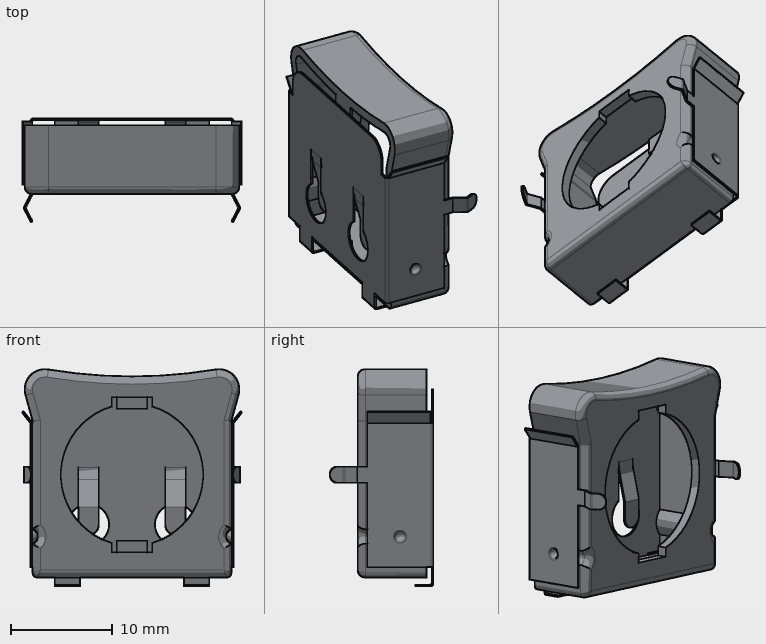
import cadquery as cq
import math


HOUSING_DEPTH = 6.78
WALL = 1.0
HALF_WIDTH = 9.79
BOTTOM_Z = -10.12
TOP_Z = 10.39
SADDLE_RADIUS = 50.0
SADDLE_LOW_Z = 9.68
SHOULDER_RADIUS = 2.0
WAIST_Z = 5.3
BOTTOM_CORNER_RADIUS = 0.5
FRONT_FILLET = 0.75

GROOVE_X = 10.0
GROOVE_Z = -6.07
GROOVE_RADIUS = 0.75

OPENING_RADIUS = 7.0
NOTCH_HALF_WIDTH = 2.0
NOTCH_HALF_HEIGHT = 7.63
FIN_WIDTH = 3.0
FIN_TIP_Z = 6.5
FIN_THICKNESS = 0.2

SHEET = 0.18
SIDE_GAP = 0.02
BEND_INNER_RADIUS = 0.1
BEND_OUTER_RADIUS = BEND_INNER_RADIUS + SHEET
CLIP_INNER_HALF_WIDTH = HALF_WIDTH + SIDE_GAP
CLIP_HALF_WIDTH = CLIP_INNER_HALF_WIDTH + SHEET
CLIP_BACK_Y = 7.45
PLATE_FRONT_Y = CLIP_BACK_Y - SHEET
PANEL_FRONT_Y = 0.95
PANEL_TOP_Z = 5.07
PANEL_BOTTOM_Z = -9.1

HEAD_HALF_WIDTH = 9.0
HEAD_TOP_Z = 8.4
HEAD_CORNER_RADIUS = 2.0

LIP_ANGLE = 38.0
LIP_TIP_X = 10.815

FOOT_X = 6.35
FOOT_WIDTH = 2.5
FOOT_BOTTOM_Z = -10.99
FOOT_LENGTH = 1.8

ARM_WIDTH = 1.6
ARM_ANGLE = 27.0
ARM_FIRST_BEND_Y = -0.02
ARM_SECOND_BEND_Y = -1.35
ARM_TIP_Y = -2.75
ELBOW_INNER_RADIUS = 0.05
ELBOW_OUTER_RADIUS = ELBOW_INNER_RADIUS + SHEET

TONGUE_X = 4.27
TONGUE_WIDTH = 2.03
TONGUE_ROOT_Z = 0.75
TONGUE_BEND_RADIUS = 5.0
TONGUE_ANGLE = 14.0
TONGUE_STRAIGHT_Z = -3.17
RELIEF_RADIUS = 2.0
RELIEF_Z = -4.9

DIMPLE_Y = 4.15
DIMPLE_RADIUS = 0.72
DIMPLE_MOUTH_FILLET = 0.1


def front_plane(y):
    """Sketch plane at depth y with local x = X and local y = Z; extrudes toward -Y."""
    return cq.Workplane("XZ", origin=(0, y, 0))


def block(x_range, y_range, z_range):
    sizes = [high - low for low, high in (x_range, y_range, z_range)]
    corner = (x_range[0], y_range[0], z_range[0])
    return cq.Workplane("XY").box(*sizes, centered=False).translate(corner)


def housing_outline():
    """Closed wire: saddle top, round shoulders, sloping flanks, straight sides with a groove."""
    saddle_center_z = SADDLE_LOW_Z + SADDLE_RADIUS
    shoulder_z = TOP_Z - SHOULDER_RADIUS
    shoulder_x = math.sqrt((SADDLE_RADIUS + SHOULDER_RADIUS) ** 2 - (saddle_center_z - shoulder_z) ** 2)

    def on_shoulder(angle):
        return (
            shoulder_x + SHOULDER_RADIUS * math.cos(angle),
            shoulder_z + SHOULDER_RADIUS * math.sin(angle),
        )

    saddle_angle = math.atan2(saddle_center_z - shoulder_z, -shoulder_x)
    to_waist_x = HALF_WIDTH - shoulder_x
    to_waist_z = WAIST_Z - shoulder_z
    tangent_offset = math.acos(SHOULDER_RADIUS / math.hypot(to_waist_x, to_waist_z))
    flank_angle = math.atan2(to_waist_z, to_waist_x) + tangent_offset
    shoulder_start = on_shoulder(saddle_angle)
    shoulder_mid = on_shoulder((saddle_angle + flank_angle) / 2)
    shoulder_end = on_shoulder(flank_angle)

    half_saddle_angle = math.asin(shoulder_start[0] / SADDLE_RADIUS) / 2
    saddle_mid = (
        SADDLE_RADIUS * math.sin(half_saddle_angle),
        saddle_center_z - SADDLE_RADIUS * math.cos(half_saddle_angle),
    )
    groove_half = math.sqrt(GROOVE_RADIUS**2 - (GROOVE_X - HALF_WIDTH) ** 2)

    def left(point):
        return (-point[0], point[1])

    return (
        front_plane(0)
        .moveTo(0, SADDLE_LOW_Z)
        .threePointArc(saddle_mid, shoulder_start)
        .threePointArc(shoulder_mid, shoulder_end)
        .lineTo(HALF_WIDTH, WAIST_Z)
        .lineTo(HALF_WIDTH, GROOVE_Z + groove_half)
        .threePointArc((GROOVE_X - GROOVE_RADIUS, GROOVE_Z), (HALF_WIDTH, GROOVE_Z - groove_half))
        .lineTo(HALF_WIDTH, BOTTOM_Z)
        .lineTo(-HALF_WIDTH, BOTTOM_Z)
        .lineTo(-HALF_WIDTH, GROOVE_Z - groove_half)
        .threePointArc((GROOVE_RADIUS - GROOVE_X, GROOVE_Z), (-HALF_WIDTH, GROOVE_Z + groove_half))
        .lineTo(-HALF_WIDTH, WAIST_Z)
        .lineTo(*left(shoulder_end))
        .threePointArc(left(shoulder_mid), left(shoulder_start))
        .threePointArc(left(saddle_mid), (0, SADDLE_LOW_Z))
        .close()
    )


def make_housing():
    shell = housing_outline().extrude(-HOUSING_DEPTH)
    shell = shell.faces("<Y").edges().fillet(FRONT_FILLET)
    shell = shell.edges("|Y").edges("<Z").fillet(BOTTOM_CORNER_RADIUS)

    cavity = housing_outline().offset2D(-WALL).extrude(-HOUSING_DEPTH).translate((0, WALL, 0))

    opening = front_plane(0).circle(OPENING_RADIUS).extrude(-WALL)
    notches = front_plane(0).rect(2 * NOTCH_HALF_WIDTH, 2 * NOTCH_HALF_HEIGHT).extrude(-WALL)

    fins = (
        front_plane(HOUSING_DEPTH)
        .rect(FIN_WIDTH, TOP_Z - BOTTOM_Z)
        .extrude(FIN_THICKNESS)
        .cut(front_plane(HOUSING_DEPTH).rect(FIN_WIDTH, 2 * FIN_TIP_Z).extrude(FIN_THICKNESS))
        .intersect(cavity)
    )
    return shell.cut(cavity).cut(opening).cut(notches).union(fins)


def make_channel():
    """Back plate and both side panels, bent from one sheet."""

    def bent_block(half_width, back_y, radius):
        return (
            block((-half_width, half_width), (PANEL_FRONT_Y, back_y), (PANEL_BOTTOM_Z, PANEL_TOP_Z))
            .edges("|Z and >Y")
            .fillet(radius)
        )

    outside = bent_block(CLIP_HALF_WIDTH, CLIP_BACK_Y, BEND_OUTER_RADIUS)
    return outside.cut(bent_block(CLIP_INNER_HALF_WIDTH, PLATE_FRONT_Y, BEND_INNER_RADIUS))


def make_head():
    """Part of the back plate above the side panels, with round top corners."""
    return (
        block((-HEAD_HALF_WIDTH, HEAD_HALF_WIDTH), (PLATE_FRONT_Y, CLIP_BACK_Y), (PANEL_TOP_Z, HEAD_TOP_Z))
        .edges("|Y and >Z")
        .fillet(HEAD_CORNER_RADIUS)
    )


def make_lip():
    """Outward-leaning lead-in lip on top of the +X side panel."""
    angle = math.radians(LIP_ANGLE)
    rise = (LIP_TIP_X - CLIP_HALF_WIDTH) / math.tan(angle)
    tip_z = PANEL_TOP_Z + rise
    miter = SHEET * math.tan(angle / 2)
    lip_back_y = CLIP_BACK_Y - BEND_OUTER_RADIUS
    return (
        front_plane(lip_back_y)
        .polyline(
            [
                (CLIP_HALF_WIDTH, PANEL_TOP_Z),
                (LIP_TIP_X, tip_z),
                (LIP_TIP_X - SHEET * math.cos(angle), tip_z + SHEET * math.sin(angle)),
                (CLIP_INNER_HALF_WIDTH, PANEL_TOP_Z + miter),
                (CLIP_INNER_HALF_WIDTH, PANEL_TOP_Z),
            ]
        )
        .close()
        .extrude(lip_back_y - PANEL_FRONT_Y)
    )


def make_arm():
    """Cranked arm reaching forward from the +X side panel, with a round tip."""
    angle = math.radians(ARM_ANGLE)
    elbow_x = CLIP_HALF_WIDTH + (ARM_FIRST_BEND_Y - ARM_SECOND_BEND_Y) * math.tan(angle)
    elbow_inner_x = elbow_x - SHEET / math.cos(angle)
    tip_x = elbow_x - (ARM_SECOND_BEND_Y - ARM_TIP_Y) * math.tan(angle)
    inner_tip = (tip_x - SHEET * math.cos(angle), ARM_TIP_Y + SHEET * math.sin(angle))

    def elbow_edge(x):
        return cq.selectors.NearestToPointSelector((x, ARM_SECOND_BEND_Y, 0))

    profile = (
        cq.Workplane("XY", origin=(0, 0, -ARM_WIDTH / 2))
        .polyline(
            [
                (CLIP_HALF_WIDTH, PANEL_FRONT_Y),
                (CLIP_HALF_WIDTH, ARM_FIRST_BEND_Y),
                (elbow_x, ARM_SECOND_BEND_Y),
                (tip_x, ARM_TIP_Y),
                inner_tip,
                (elbow_inner_x, ARM_SECOND_BEND_Y),
                (CLIP_INNER_HALF_WIDTH, ARM_FIRST_BEND_Y - SHEET * math.tan(angle / 2)),
                (CLIP_INNER_HALF_WIDTH, PANEL_FRONT_Y),
            ]
        )
        .close()
        .extrude(ARM_WIDTH)
    )
    profile = profile.edges(elbow_edge(elbow_x)).fillet(ELBOW_OUTER_RADIUS)
    profile = profile.edges(elbow_edge(elbow_inner_x)).fillet(ELBOW_INNER_RADIUS)
    tip_plane = cq.Plane(
        origin=(tip_x, ARM_TIP_Y, 0),
        xDir=(math.sin(angle), math.cos(angle), 0),
        normal=(math.cos(angle), -math.sin(angle), 0),
    )
    radius = ARM_WIDTH / 2
    blank_length = 2 * (PANEL_FRONT_Y - ARM_TIP_Y)
    round_blank = (
        cq.Workplane(tip_plane)
        .moveTo(radius, radius)
        .threePointArc((0, 0), (radius, -radius))
        .lineTo(blank_length, -radius)
        .lineTo(blank_length, radius)
        .close()
        .extrude(blank_length, both=True)
    )
    return profile.intersect(round_blank)


def make_foot(x):
    """Foot that drops from the back plate and turns forward."""
    x_range = (x - FOOT_WIDTH / 2, x + FOOT_WIDTH / 2)
    toe_y = CLIP_BACK_Y - FOOT_LENGTH
    outside = block(x_range, (toe_y, CLIP_BACK_Y), (FOOT_BOTTOM_Z, PANEL_BOTTOM_Z))
    outside = outside.edges("|X and >Y and <Z").fillet(BEND_OUTER_RADIUS)
    inside = block(x_range, (toe_y, PLATE_FRONT_Y), (FOOT_BOTTOM_Z + SHEET, PANEL_BOTTOM_Z))
    inside = inside.edges("|X and >Y and <Z").fillet(BEND_INNER_RADIUS)
    return outside.cut(inside)


def make_relief(x):
    """Slot and round window in the back plate that free a tongue."""
    window = front_plane(CLIP_BACK_Y).center(x, RELIEF_Z).circle(RELIEF_RADIUS).extrude(SHEET)
    slot = block(
        (x - TONGUE_WIDTH / 2, x + TONGUE_WIDTH / 2),
        (PLATE_FRONT_Y, CLIP_BACK_Y),
        (RELIEF_Z, TONGUE_ROOT_Z),
    )
    return window.union(slot)


def make_tongue(x):
    """Spring tongue that curves into the housing, then hangs straight with a round end."""
    angle = math.radians(TONGUE_ANGLE)
    half_width = TONGUE_WIDTH / 2
    end_z = RELIEF_Z - half_width
    bend_center_y = PLATE_FRONT_Y - TONGUE_BEND_RADIUS

    def on_bend(radius, turn):
        return (bend_center_y + radius * math.cos(turn), TONGUE_ROOT_Z - radius * math.sin(turn))

    inner = TONGUE_BEND_RADIUS
    outer = TONGUE_BEND_RADIUS + SHEET
    ramp_start = on_bend(inner, angle)
    straight_y = ramp_start[0] - (ramp_start[1] - TONGUE_STRAIGHT_Z) * math.tan(angle)
    strip = (
        cq.Workplane("YZ", origin=(x - half_width, 0, 0))
        .moveTo(PLATE_FRONT_Y, TONGUE_ROOT_Z)
        .threePointArc(on_bend(inner, angle / 2), ramp_start)
        .lineTo(straight_y, TONGUE_STRAIGHT_Z)
        .lineTo(straight_y, end_z)
        .lineTo(straight_y + SHEET, end_z)
        .lineTo(straight_y + SHEET, TONGUE_STRAIGHT_Z + SHEET * math.tan(angle / 2))
        .lineTo(*on_bend(outer, angle))
        .threePointArc(on_bend(outer, angle / 2), (CLIP_BACK_Y, TONGUE_ROOT_Z))
        .close()
        .extrude(TONGUE_WIDTH)
    )
    round_blank = (
        front_plane(CLIP_BACK_Y)
        .moveTo(x - half_width, TONGUE_ROOT_Z)
        .lineTo(x - half_width, RELIEF_Z)
        .threePointArc((x, end_z), (x + half_width, RELIEF_Z))
        .lineTo(x + half_width, TONGUE_ROOT_Z)
        .close()
        .extrude(CLIP_BACK_Y)
    )
    return strip.intersect(round_blank)


def half_ball(radius):
    """Half ball on the outer face of the +X side panel, bulging inward along the groove."""
    ball = cq.Workplane("XY").sphere(radius).translate((CLIP_HALF_WIDTH, DIMPLE_Y, GROOVE_Z))
    inner_side = block(
        (CLIP_HALF_WIDTH - radius, CLIP_HALF_WIDTH),
        (DIMPLE_Y - radius, DIMPLE_Y + radius),
        (GROOVE_Z - radius, GROOVE_Z + radius),
    )
    return ball.intersect(inner_side)


def both_sides(body):
    return body.union(body.mirror("YZ"))


def press_dimples(clip):
    """Hollow out both half balls and round the mouths of the cavities."""
    clip = clip.cut(both_sides(half_ball(DIMPLE_RADIUS - SHEET)))
    for side in (-1, 1):
        mouth = cq.selectors.BoxSelector(
            (side * (CLIP_HALF_WIDTH - SHEET / 2), DIMPLE_Y - DIMPLE_RADIUS, GROOVE_Z - DIMPLE_RADIUS),
            (side * (CLIP_HALF_WIDTH + SHEET / 2), DIMPLE_Y + DIMPLE_RADIUS, GROOVE_Z + DIMPLE_RADIUS),
            boundingbox=True,
        )
        clip = clip.edges(mouth).fillet(DIMPLE_MOUTH_FILLET)
    return clip


def make_clip():
    clip = make_channel().union(make_head())
    for side in (-1, 1):
        clip = clip.union(make_foot(side * FOOT_X))
        clip = clip.cut(make_relief(side * TONGUE_X))
        clip = clip.union(make_tongue(side * TONGUE_X))
    for side_feature in (make_lip(), make_arm(), half_ball(DIMPLE_RADIUS)):
        clip = clip.union(both_sides(side_feature))
    return press_dimples(clip)


housing = make_housing()
clip = make_clip()

result = cq.Compound.makeCompound([housing.val(), clip.val()])